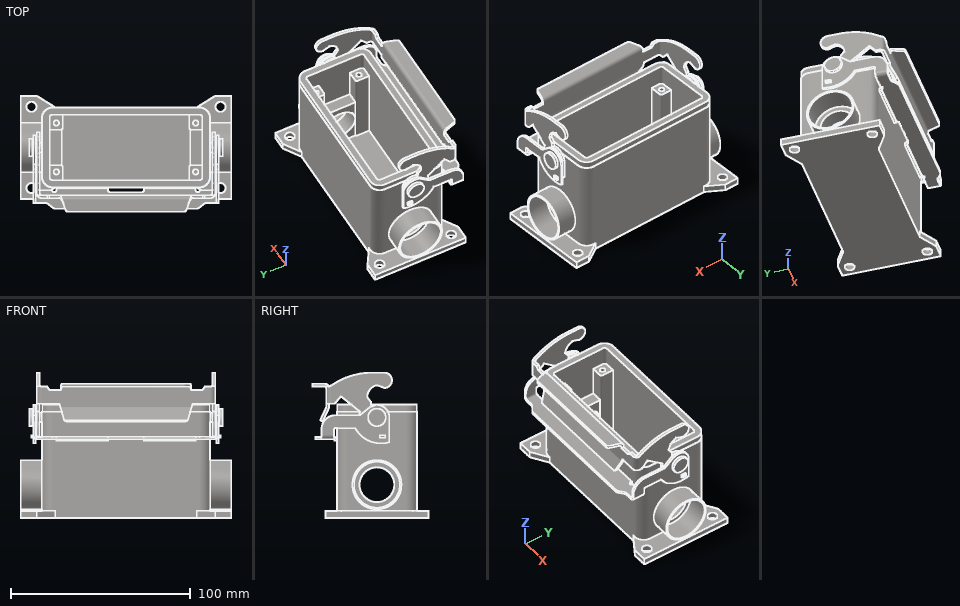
import cadquery as cq
import math

OVERLAP = 1.2

BODY_LENGTH = 93.6
BODY_WIDTH = 44.6
BODY_HEIGHT = 63.3
BODY_CORNER_RADIUS = 6.1
RIM_BAND_HEIGHT = 4.1
RIM_INSET = 0.14
CAVITY_LENGTH = 85.0
CAVITY_WIDTH = 36.3
CAVITY_CORNER_RADIUS = 1.5
FLOOR_THICKNESS = 4.1

POST_TOP = 51.4
POST_LENGTH = 7.3
POST_WIDTH = 8.3
POST_CORNER_RADIUS = 0.9
POST_HOLE_X = 38.7
POST_HOLE_Y = 13.6
POST_HOLE_RADIUS = 1.5
POST_HOLE_DEPTH = 11.7
END_WALL_STEP = 6.7
END_WALL_TOP = 32.8

FOOT_LENGTH = 117.0
FOOT_WIDTH = 57.3
FOOT_THICKNESS = 4.1
FOOT_EAR_X = 49.5
FOOT_NECK_X = 39.3
FOOT_HOLE_X = 52.5
FOOT_HOLE_Y = 22.6
FOOT_HOLE_DIAMETER = 5.5

PORT_HEIGHT = 18.6
PORT_RADIUS = 13.7
PORT_BORE_RADIUS = 12.8
PORT_BORE_DEPTH = 13.1
PORT_HOLE_RADIUS = 9.6

PIVOT_Z = 56.0
PIN_RADIUS = 2.7
PIN_HEAD_RADIUS = 4.9
PIN_HEAD_INNER_X = 52.1
PIN_HEAD_OUTER_X = 53.7

LEVER_SHEET = 1.6
LEVER_HALF_LENGTH = 49.6
LEVER_FRONT_Y = -28.2
LEVER_BEND_RADIUS = 2.8
LEVER_TOP = 81.0
LEVER_BAND_TOP = 73.2
LEVER_BAND_BOTTOM = 63.5
KNOB_RADIUS = 4.3
KNOB_Y = 4.1
BACK_START_Y = -4.2
BACK_MIDDLE = (-16.7, 78.4)
BACK_END = (-25.4, 73.8)
CHEEK_CORNER_Y = -23.5
CHEEK_NOTCH_PEAK = (-20.0, 67.6)
HUB_FRONT = (-9.5, 59.3)
HUB_FRONT_MIDDLE = (-8.2, 50.5)
HUB_BOTTOM_Z = 45.5
HUB_BACK_Y = 5.8
HUB_TOP_MIDDLE = (3.5, 60.8)
THROAT_FOOT = (-3.2, 62.0)
THROAT_LIP = (-3.3, 64.6)
HOOK_INNER = (-5.4, 67.4)
HOOK_MIDDLE = (-3.7, 71.6)
HOOK_CROWN = (-0.2, 73.8)
KNOB_BLEND = (1.4, 73.4)
NOTCH_OUTER_X = 43.9
NOTCH_FLOOR_X = 42.6
NOTCH_FLOOR_Z = 71.4
FLANGE_FRONT_Y = -35.8
FLANGE_TOP = 74.8
FLANGE_BEND_RADIUS = 0.9
FLANGE_ROOT_HALF = 36.4
FLANGE_TIP_HALF = 33.3
FLANGE_CORNER_RADIUS = 1.9
FLAP_BEND_Z = 61.3
FLAP_BOTTOM = 53.7
FLAP_ANGLE = 25.0
FLAP_ROOT_HALF = 37.0
FLAP_TIP_HALF = 34.2
FLAP_BEND_RADIUS = 1.2
FLAP_CORNER_RADIUS = 1.9

BAIL_SHEET = 1.4
BAIL_HALF_LENGTH = 51.5
BAIL_BOTTOM = 43.8
BAIL_BEND_RADIUS = 2.6
BAIL_HUB_RADIUS = 6.9
BAIL_ARM_TOP = 57.3
BAIL_ARM_BOTTOM = 50.1
BAIL_LEG_INNER_Y = -23.8
BAIL_LEG_OUTER_Y = -30.9
BAIL_ELBOW_RADIUS = 8.0
BAIL_CROOK_RADIUS = 0.7
BAIL_LIP_Y = -34.2
BAIL_LIP_END_X = 48.0
BAIL_LIP_ROOT_X = 44.0
BAIL_LIP_TIP_X = 40.0
BAIL_LIP_CORNER_RADIUS = 2.9
BAIL_SHOULDER_TOP = (-3.9, 61.8)
BAIL_SHOULDER_Y = -9.4
BAIL_BELLY_FRONT_Y = -12.0
BAIL_BELLY_MIDDLE = (-7.4, 44.7)
BAIL_BELLY_BACK_Z = 42.2
BAIL_TAB_INNER_X = 10.0
BAIL_TAB_OUTER_X = 38.7
BAIL_TAB_BOTTOM = 42.9
BAIL_TAB_THICKNESS = 1.3
BAIL_TAB_BEND_RADIUS = 1.2
RELIEF_RADIUS = 1.2
RELIEF_Y = -23.6
SLOT_CORNER_RADIUS = 0.9
STOP_Y = 3.2
STOP_Z = 45.4
STOP_WIDTH = 2.9
STOP_HEIGHT = 1.3
STOP_OUTER_X = 52.5


def box(x_range, y_range, z_range):
    """Axis-aligned box given by its limits."""
    (x0, x1), (y0, y1), (z0, z1) = x_range, y_range, z_range
    return cq.Workplane("XY").box(x1 - x0, y1 - y0, z1 - z0, centered=False).translate((x0, y0, z0))


def x_cylinder(radius, x_start, x_end, z):
    """Cylinder along X, centred on Y = 0."""
    return cq.Workplane("YZ", origin=(x_start, 0, z)).circle(radius).extrude(x_end - x_start)


def both_ends(shape):
    """The shape together with its mirror image at the other X end."""
    return shape.union(shape.mirror("YZ"))


def across(side_profile, half_length):
    """Extrude a YZ profile symmetrically along X."""
    return side_profile.extrude(half_length, both=True)


def make_feet():
    half_length = FOOT_LENGTH / 2
    half_width = FOOT_WIDTH / 2
    neck_y = BODY_WIDTH / 2
    foot = (
        cq.Workplane("XY")
        .moveTo(half_length, -half_width)
        .lineTo(half_length, half_width)
        .lineTo(FOOT_EAR_X, half_width)
        .lineTo(FOOT_NECK_X, neck_y)
        .lineTo(FOOT_NECK_X, -neck_y)
        .lineTo(FOOT_EAR_X, -half_width)
        .close()
        .extrude(FOOT_THICKNESS)
    )
    holes = (
        cq.Workplane("XY")
        .pushPoints([(FOOT_HOLE_X, FOOT_HOLE_Y), (FOOT_HOLE_X, -FOOT_HOLE_Y)])
        .circle(FOOT_HOLE_DIAMETER / 2)
        .extrude(FOOT_THICKNESS)
    )
    return both_ends(foot.cut(holes))


def make_shell():
    lower = cq.Workplane("XY").rect(BODY_LENGTH, BODY_WIDTH).extrude(BODY_HEIGHT - RIM_BAND_HEIGHT)
    lower = lower.edges("|Z").fillet(BODY_CORNER_RADIUS)
    rim = (
        cq.Workplane("XY")
        .rect(BODY_LENGTH - 2 * RIM_INSET, BODY_WIDTH - 2 * RIM_INSET)
        .extrude(BODY_HEIGHT)
        .edges("|Z")
        .fillet(BODY_CORNER_RADIUS - RIM_INSET)
    )
    cavity = (
        cq.Workplane("XY", origin=(0, 0, FLOOR_THICKNESS))
        .rect(CAVITY_LENGTH, CAVITY_WIDTH)
        .extrude(BODY_HEIGHT)
        .edges("|Z")
        .fillet(CAVITY_CORNER_RADIUS)
    )
    return lower.union(rim).cut(cavity)


def make_inner_supports():
    """Screw posts in the cavity corners and the thick lower end walls."""
    end_x = CAVITY_LENGTH / 2 + OVERLAP
    side_y = CAVITY_WIDTH / 2 + OVERLAP
    post_x = CAVITY_LENGTH / 2 - POST_LENGTH
    post_y = CAVITY_WIDTH / 2 - POST_WIDTH
    post = box((post_x, end_x), (post_y, side_y), (0, POST_TOP))
    post = post.edges("|Z and <X and <Y").fillet(POST_CORNER_RADIUS)
    hole = (
        cq.Workplane("XY", origin=(POST_HOLE_X, POST_HOLE_Y, POST_TOP))
        .circle(POST_HOLE_RADIUS)
        .extrude(-POST_HOLE_DEPTH)
    )
    post = post.cut(hole)
    wall_x = CAVITY_LENGTH / 2 - END_WALL_STEP
    wall = box((wall_x, end_x), (-post_y, post_y), (0, END_WALL_TOP))
    return both_ends(wall.union(post).union(post.mirror("XZ")))


def make_housing():
    housing = make_shell().union(make_feet()).union(make_inner_supports())
    port_end = FOOT_LENGTH / 2
    tube = x_cylinder(PORT_RADIUS, CAVITY_LENGTH / 2 + OVERLAP, port_end, PORT_HEIGHT)
    bore = x_cylinder(PORT_BORE_RADIUS, port_end - PORT_BORE_DEPTH, port_end, PORT_HEIGHT)
    hole = x_cylinder(PORT_HOLE_RADIUS, 0, port_end, PORT_HEIGHT)
    return housing.union(both_ends(tube)).cut(both_ends(bore.union(hole)))


def make_pins():
    shank = x_cylinder(PIN_RADIUS, BODY_LENGTH / 2 - OVERLAP, PIN_HEAD_INNER_X, PIVOT_Z)
    head = x_cylinder(PIN_HEAD_RADIUS, PIN_HEAD_INNER_X, PIN_HEAD_OUTER_X, PIVOT_Z)
    return both_ends(shank.union(head))


def lever_side_profile():
    """Hooked cheek of the locking lever, in the YZ plane."""
    knob_z = LEVER_TOP - KNOB_RADIUS
    return (
        cq.Workplane("YZ")
        .moveTo(KNOB_Y, LEVER_TOP)
        .lineTo(BACK_START_Y, LEVER_TOP)
        .threePointArc(BACK_MIDDLE, BACK_END)
        .lineTo(LEVER_FRONT_Y + LEVER_SHEET, LEVER_BAND_TOP)
        .lineTo(LEVER_FRONT_Y, LEVER_BAND_TOP)
        .lineTo(LEVER_FRONT_Y, LEVER_BAND_BOTTOM)
        .lineTo(CHEEK_CORNER_Y, LEVER_BAND_BOTTOM)
        .lineTo(*CHEEK_NOTCH_PEAK)
        .lineTo(*HUB_FRONT)
        .threePointArc(HUB_FRONT_MIDDLE, (0, HUB_BOTTOM_Z))
        .lineTo(HUB_BACK_Y, HUB_BOTTOM_Z)
        .lineTo(HUB_BACK_Y, PIVOT_Z)
        .threePointArc(HUB_TOP_MIDDLE, THROAT_FOOT)
        .lineTo(*THROAT_LIP)
        .lineTo(*HOOK_INNER)
        .threePointArc(HOOK_MIDDLE, HOOK_CROWN)
        .threePointArc(KNOB_BLEND, (KNOB_Y, knob_z - KNOB_RADIUS))
        .threePointArc((KNOB_Y + KNOB_RADIUS, knob_z), (KNOB_Y, LEVER_TOP))
        .close()
    )


def lever_channel():
    """Vertical U-shaped sheet wrapped around both ends and the front of the body."""
    back_y = KNOB_Y + 2 * KNOB_RADIUS
    inner_half = LEVER_HALF_LENGTH - LEVER_SHEET
    z_range = (0, LEVER_TOP)
    outer = box((-LEVER_HALF_LENGTH, LEVER_HALF_LENGTH), (LEVER_FRONT_Y, back_y), z_range)
    inner = box((-inner_half, inner_half), (LEVER_FRONT_Y + LEVER_SHEET, back_y), z_range)
    outer = outer.edges("|Z and <Y").fillet(LEVER_BEND_RADIUS)
    inner = inner.edges("|Z and <Y").fillet(LEVER_BEND_RADIUS - LEVER_SHEET)
    return outer.cut(inner)


def lever_notch():
    """Shallow dip along the top edge of the band; the flange rises from its floor."""
    return (
        cq.Workplane("XZ", origin=(0, LEVER_FRONT_Y + LEVER_SHEET, 0))
        .moveTo(-NOTCH_OUTER_X, LEVER_BAND_TOP)
        .lineTo(-NOTCH_FLOOR_X, NOTCH_FLOOR_Z)
        .lineTo(NOTCH_FLOOR_X, NOTCH_FLOOR_Z)
        .lineTo(NOTCH_OUTER_X, LEVER_BAND_TOP)
        .close()
        .extrude(LEVER_SHEET)
    )


def lever_flange():
    """Finger flange bent forward from the top edge of the band."""
    inner_y = LEVER_FRONT_Y + LEVER_SHEET
    bend_outer = FLANGE_BEND_RADIUS + LEVER_SHEET
    center_y = LEVER_FRONT_Y - FLANGE_BEND_RADIUS
    center_z = FLANGE_TOP - bend_outer
    diagonal = math.sqrt(0.5)
    section = (
        cq.Workplane("YZ")
        .moveTo(inner_y, NOTCH_FLOOR_Z - OVERLAP)
        .lineTo(inner_y, center_z)
        .threePointArc(
            (center_y + bend_outer * diagonal, center_z + bend_outer * diagonal),
            (center_y, FLANGE_TOP),
        )
        .lineTo(FLANGE_FRONT_Y, FLANGE_TOP)
        .lineTo(FLANGE_FRONT_Y, FLANGE_TOP - LEVER_SHEET)
        .lineTo(center_y, FLANGE_TOP - LEVER_SHEET)
        .threePointArc(
            (center_y + FLANGE_BEND_RADIUS * diagonal, center_z + FLANGE_BEND_RADIUS * diagonal),
            (LEVER_FRONT_Y, center_z),
        )
        .lineTo(LEVER_FRONT_Y, NOTCH_FLOOR_Z - OVERLAP)
        .close()
    )
    outline = (
        cq.Workplane("XY")
        .moveTo(-FLANGE_ROOT_HALF, inner_y)
        .lineTo(-FLANGE_TIP_HALF, FLANGE_FRONT_Y)
        .lineTo(FLANGE_TIP_HALF, FLANGE_FRONT_Y)
        .lineTo(FLANGE_ROOT_HALF, inner_y)
        .close()
        .extrude(LEVER_TOP)
        .edges("|Z and <Y")
        .fillet(FLANGE_CORNER_RADIUS)
    )
    return across(section, LEVER_HALF_LENGTH).intersect(outline)


def lever_flap():
    """Flap below the band, leaning outward."""
    inner_y = LEVER_FRONT_Y + LEVER_SHEET
    lean = math.radians(FLAP_ANGLE)
    kink_rise = LEVER_SHEET * math.tan(lean / 2)
    length = (FLAP_BEND_Z - FLAP_BOTTOM) / math.cos(lean)
    tip_y = inner_y - length * math.sin(lean)
    section = (
        cq.Workplane("YZ")
        .moveTo(inner_y, LEVER_BAND_BOTTOM + OVERLAP)
        .lineTo(inner_y, FLAP_BEND_Z)
        .lineTo(tip_y, FLAP_BOTTOM)
        .lineTo(tip_y - LEVER_SHEET * math.cos(lean), FLAP_BOTTOM + LEVER_SHEET * math.sin(lean))
        .lineTo(LEVER_FRONT_Y, FLAP_BEND_Z + kink_rise)
        .lineTo(LEVER_FRONT_Y, LEVER_BAND_BOTTOM + OVERLAP)
        .close()
    )
    outline = (
        cq.Workplane("XZ", origin=(0, inner_y, 0))
        .moveTo(-FLAP_ROOT_HALF, LEVER_BAND_BOTTOM + OVERLAP)
        .lineTo(-FLAP_ROOT_HALF, LEVER_BAND_BOTTOM)
        .lineTo(-FLAP_TIP_HALF, FLAP_BOTTOM)
        .lineTo(FLAP_TIP_HALF, FLAP_BOTTOM)
        .lineTo(FLAP_ROOT_HALF, LEVER_BAND_BOTTOM)
        .lineTo(FLAP_ROOT_HALF, LEVER_BAND_BOTTOM + OVERLAP)
        .close()
        .extrude(length)
        .edges("|Y and <Z")
        .fillet(FLAP_CORNER_RADIUS)
    )
    flap = across(section, LEVER_HALF_LENGTH)
    flap = flap.edges(cq.NearestToPointSelector((0, inner_y, FLAP_BEND_Z))).fillet(
        FLAP_BEND_RADIUS + LEVER_SHEET
    )
    flap = flap.edges(cq.NearestToPointSelector((0, LEVER_FRONT_Y, FLAP_BEND_Z + kink_rise))).fillet(
        FLAP_BEND_RADIUS
    )
    return flap.intersect(outline)


def make_lever():
    lever = lever_channel().intersect(across(lever_side_profile(), LEVER_HALF_LENGTH))
    return lever.cut(lever_notch()).union(lever_flange()).union(lever_flap())


def bail_side_profile():
    """Cheek, arm and drop leg of the bail, in the YZ plane."""
    hub = BAIL_HUB_RADIUS
    diagonal = math.sqrt(0.5)
    elbow_y = BAIL_LEG_OUTER_Y + BAIL_ELBOW_RADIUS
    elbow_z = BAIL_ARM_TOP - BAIL_ELBOW_RADIUS
    return (
        cq.Workplane("YZ")
        .moveTo(hub, PIVOT_Z)
        .threePointArc((0, PIVOT_Z + hub), BAIL_SHOULDER_TOP)
        .lineTo(BAIL_SHOULDER_Y, BAIL_ARM_TOP)
        .lineTo(elbow_y, BAIL_ARM_TOP)
        .threePointArc(
            (elbow_y - BAIL_ELBOW_RADIUS * diagonal, elbow_z + BAIL_ELBOW_RADIUS * diagonal),
            (BAIL_LEG_OUTER_Y, elbow_z),
        )
        .lineTo(BAIL_LEG_OUTER_Y, BAIL_BOTTOM)
        .lineTo(BAIL_LEG_INNER_Y, BAIL_BOTTOM)
        .lineTo(BAIL_LEG_INNER_Y, BAIL_ARM_BOTTOM - BAIL_CROOK_RADIUS)
        .tangentArcPoint((BAIL_LEG_INNER_Y + BAIL_CROOK_RADIUS, BAIL_ARM_BOTTOM), relative=False)
        .lineTo(BAIL_BELLY_FRONT_Y, BAIL_ARM_BOTTOM)
        .threePointArc(BAIL_BELLY_MIDDLE, (hub, BAIL_BELLY_BACK_Z))
        .close()
    )


def bail_channel():
    """Bail cheeks joined by the bottom plate through rounded bends."""
    y_range = (BAIL_LEG_OUTER_Y, BAIL_LEG_INNER_Y)
    inner_half = BAIL_HALF_LENGTH - BAIL_SHEET
    top = PIVOT_Z + BAIL_HUB_RADIUS
    outer = box((-BAIL_HALF_LENGTH, BAIL_HALF_LENGTH), y_range, (BAIL_BOTTOM, top))
    inner = box((-inner_half, inner_half), y_range, (BAIL_BOTTOM + BAIL_SHEET, top))
    outer = outer.edges("|Y and <Z").fillet(BAIL_BEND_RADIUS)
    inner = inner.edges("|Y and <Z").fillet(BAIL_BEND_RADIUS - BAIL_SHEET)
    cheeks_y = (BAIL_LEG_INNER_Y, BAIL_HUB_RADIUS)
    cheek = box((inner_half, BAIL_HALF_LENGTH), cheeks_y, (0, top))
    channel = outer.cut(inner).union(both_ends(cheek))
    return channel.intersect(across(bail_side_profile(), BAIL_HALF_LENGTH))


def bail_lip():
    """Front lip of the bottom plate, with S-shaped ends."""
    overlap_y = BAIL_LEG_OUTER_Y + OVERLAP
    lip = (
        cq.Workplane("XY", origin=(0, 0, BAIL_BOTTOM))
        .moveTo(-BAIL_LIP_END_X, overlap_y)
        .lineTo(-BAIL_LIP_END_X, BAIL_LEG_OUTER_Y)
        .lineTo(-BAIL_LIP_ROOT_X, BAIL_LEG_OUTER_Y)
        .lineTo(-BAIL_LIP_TIP_X, BAIL_LIP_Y)
        .lineTo(BAIL_LIP_TIP_X, BAIL_LIP_Y)
        .lineTo(BAIL_LIP_ROOT_X, BAIL_LEG_OUTER_Y)
        .lineTo(BAIL_LIP_END_X, BAIL_LEG_OUTER_Y)
        .lineTo(BAIL_LIP_END_X, overlap_y)
        .close()
        .extrude(BAIL_SHEET)
    )
    for x in (-BAIL_LIP_ROOT_X, BAIL_LIP_ROOT_X):
        root = cq.NearestToPointSelector((x, BAIL_LEG_OUTER_Y, BAIL_BOTTOM + BAIL_SHEET / 2))
        lip = lip.edges(root).fillet(BAIL_LIP_CORNER_RADIUS)
    return lip.edges("|Z and <Y").fillet(BAIL_LIP_CORNER_RADIUS)


def bail_tab():
    """Strip along the inner edge of the bottom plate, turned downward."""
    tab = box(
        (BAIL_TAB_INNER_X, BAIL_TAB_OUTER_X),
        (BAIL_LEG_INNER_Y, BAIL_LEG_INNER_Y + BAIL_TAB_THICKNESS),
        (BAIL_TAB_BOTTOM, BAIL_BOTTOM + BAIL_SHEET),
    )
    return tab.edges("|X and >Y and >Z").fillet(BAIL_TAB_BEND_RADIUS)


def bail_cutouts():
    """Central slot and the round bend reliefs at the outer ends of the tabs."""
    z_range = (BAIL_BOTTOM, BAIL_BOTTOM + BAIL_SHEET)
    slot_y = RELIEF_Y - RELIEF_RADIUS
    slot = box((-BAIL_TAB_INNER_X, BAIL_TAB_INNER_X), (slot_y, BAIL_LEG_INNER_Y), z_range)
    slot = slot.edges("|Z and <Y").fillet(SLOT_CORNER_RADIUS)
    relief = (
        cq.Workplane("XY", origin=(BAIL_TAB_OUTER_X + RELIEF_RADIUS, RELIEF_Y, BAIL_BOTTOM))
        .circle(RELIEF_RADIUS)
        .extrude(BAIL_SHEET)
    )
    return slot.union(both_ends(relief))


def bail_stop():
    """Small stop nub on the outside of a bail cheek."""
    return box(
        (BAIL_HALF_LENGTH - BAIL_SHEET, STOP_OUTER_X),
        (STOP_Y - STOP_WIDTH / 2, STOP_Y + STOP_WIDTH / 2),
        (STOP_Z - STOP_HEIGHT / 2, STOP_Z + STOP_HEIGHT / 2),
    )


def make_bail():
    bail = bail_channel().union(bail_lip()).cut(bail_cutouts())
    return bail.union(both_ends(bail_tab())).union(both_ends(bail_stop()))


result = make_housing().union(make_pins()).union(make_lever()).union(make_bail())